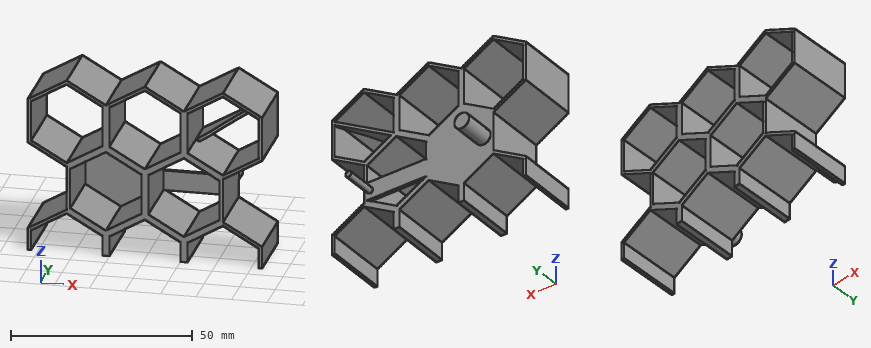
import cadquery as cq
import math

length = 66.0
columns = 3
wall = 1.0
depth = 20.0
row_pitch = 19.0
cell_width = length / columns
opening_width = cell_width - 2 * wall

middle_row = row_pitch
top_row = 2 * row_pitch
row_columns = {0.0: columns, middle_row: columns - 1, top_row: columns}

panel_thickness = 1.0

peg_length = 10.0
large_peg_diameter = 5.0
large_peg_drop = 0.6
small_peg_diameter = 2.0

divider_thickness = 1.0
facet_joints = [-7.9, -3.35, 1.4]
facet_tilts = [15, 27.5, 24, 15]
divider_end_depth = 1.0


def hexagon_radius(across_flats):
    return across_flats / math.sqrt(3)


def hexagon(across_flats, x, z, front, back):
    """Hexagonal prism centred on (x, z), spanning front to back in Y."""
    radius = hexagon_radius(across_flats)
    corners = []
    for corner in range(6):
        angle = math.radians(30 + 60 * corner)
        corners.append((x + radius * math.cos(angle), z + radius * math.sin(angle)))
    profile = cq.Workplane("XZ", origin=(0, front, 0)).polyline(corners).close()
    return profile.extrude(front - back)


def cell_x(column, count):
    return (column - (count - 1) / 2) * cell_width


def honeycomb():
    centres = []
    for z, count in row_columns.items():
        for column in range(count):
            centres.append((cell_x(column, count), z))
    comb = cq.Workplane("XY")
    for x, z in centres:
        comb = comb.union(hexagon(cell_width, x, z, 0, depth))
    for x, z in centres:
        comb = comb.cut(hexagon(opening_width, x, z, 0, depth))
    below = cq.Workplane("XY").box(2 * length, 2 * length, length).translate((0, 0, -length / 2))
    return comb.cut(below)


def peg(diameter, x, z):
    """Round peg from the front of a back panel to beyond the comb."""
    start = depth - panel_thickness
    profile = cq.Workplane("XZ", origin=(x, start, z)).circle(diameter / 2)
    return profile.extrude(-(panel_thickness + peg_length))


def closed_cell():
    x = cell_x(0, columns - 1)
    panel = hexagon(opening_width + wall, x, middle_row, depth - panel_thickness, depth)
    peg_x = x - opening_width / 2 + large_peg_diameter / 2
    return panel.union(peg(large_peg_diameter, peg_x, middle_row - large_peg_drop))


def crossbar():
    """Back strip from the cell centre down to the lower side corners, with a peg."""
    x = cell_x(1, columns - 1)
    height = hexagon_radius(opening_width) / 2
    z = middle_row - height / 2
    strip = cq.Workplane("XY").box(opening_width + wall, panel_thickness, height)
    strip = strip.translate((x, depth - panel_thickness / 2, z))
    peg_x = x + opening_width / 2 - small_peg_diameter / 2
    return strip.union(peg(small_peg_diameter, peg_x, z))


def divider():
    """Plate below the corner-to-corner diagonal, with a faceted front edge."""
    reach = hexagon_radius(opening_width) + wall
    stations = [-reach] + facet_joints + [reach]
    y = depth - divider_end_depth
    front_edge = [(reach, y)]
    for index in range(len(facet_tilts) - 1, -1, -1):
        run = stations[index + 1] - stations[index]
        y -= run * math.tan(math.radians(facet_tilts[index]))
        front_edge.append((stations[index], y))
    outline = front_edge + [(-reach, depth), (reach, depth)]
    plate = cq.Workplane("XY").polyline(outline).close().extrude(-divider_thickness)
    plate = plate.rotate((0, 0, 0), (0, 1, 0), -30)
    x = cell_x(columns - 1, columns)
    plate = plate.translate((x, 0, top_row))
    return plate.intersect(hexagon(opening_width + wall, x, top_row, 0, depth))


result = honeycomb().union(closed_cell()).union(crossbar()).union(divider())